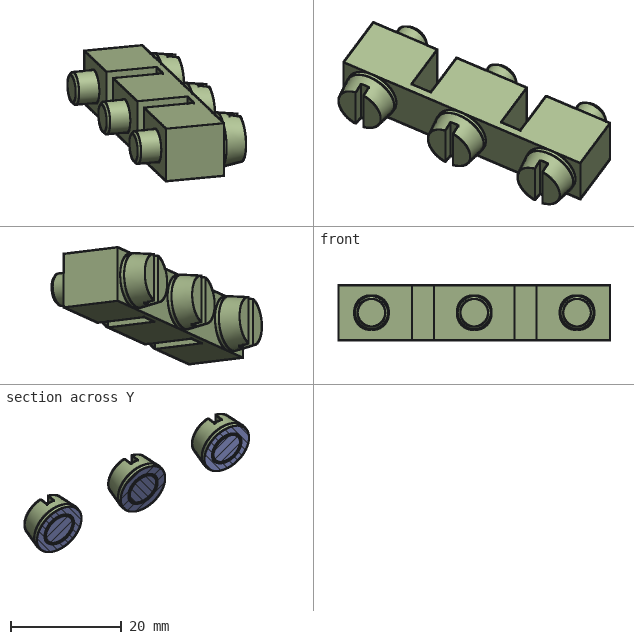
import cadquery as cq

screw_count = 3
screw_pitch = 18.6
end_margin = 6.0
screw_x = [(i - (screw_count - 1) / 2) * screw_pitch for i in range(screw_count)]

block_length = (screw_count - 1) * screw_pitch + 2 * end_margin
block_depth = 11.0
block_height = 10.0
web_thickness = 1.5
gap_width = 4.0
block_hole_diameter = 6.2
gap_x = [(left + right) / 2 for left, right in zip(screw_x, screw_x[1:])]

washer_diameter = 10.0
washer_hole_diameter = 6.4
washer_thickness = 0.8

shank_diameter = 6.0
tip_projection = 4.3
tip_chamfer = 0.5
head_height = 3.9
head_base_diameter = 10.0
head_top_diameter = 8.8
drive_slot_width = 1.6
drive_slot_depth = 2.0

block_front_y = tip_projection
block_back_y = block_front_y + block_depth
head_base_y = block_back_y + washer_thickness
head_top_y = head_base_y + head_height


def y_cylinder(x, y_start, length, diameter):
    """Cylinder running toward +Y from y_start, centred on the screw axis at x."""
    axis_start = cq.Vector(x, y_start, 0)
    return cq.Workplane(cq.Solid.makeCylinder(diameter / 2, length, axis_start, cq.Vector(0, 1, 0)))


def make_block():
    """Bar with open-front gaps between its segments and one clearance hole per screw."""
    block = cq.Workplane().box(block_length, block_depth, block_height, centered=(True, False, True))
    block = block.translate((0, block_front_y, 0))
    gap_depth = block_depth - web_thickness
    for x in gap_x:
        gap = cq.Workplane().box(gap_width, gap_depth, block_height, centered=(True, False, True))
        block = block.cut(gap.translate((x, block_front_y, 0)))
    for x in screw_x:
        block = block.cut(y_cylinder(x, block_front_y, block_depth, block_hole_diameter))
    return block


def make_washer(x):
    """Flat ring between the block and a screw head."""
    ring = y_cylinder(x, block_back_y, washer_thickness, washer_diameter)
    return ring.cut(y_cylinder(x, block_back_y, washer_thickness, washer_hole_diameter))


def make_screw(x):
    """Chamfered shank with a tapered head, turned about Y, and a drive slot along Z."""
    shank_radius = shank_diameter / 2
    profile = (
        cq.Workplane("XY")
        .lineTo(shank_radius - tip_chamfer, 0)
        .lineTo(shank_radius, tip_chamfer)
        .lineTo(shank_radius, head_base_y)
        .lineTo(head_base_diameter / 2, head_base_y)
        .lineTo(head_top_diameter / 2, head_top_y)
        .lineTo(0, head_top_y)
        .close()
    )
    screw = profile.revolve(360, (0, 0, 0), (0, 1, 0))
    slot = cq.Workplane().box(
        drive_slot_width, drive_slot_depth, head_base_diameter, centered=(True, False, True)
    )
    screw = screw.cut(slot.translate((0, head_top_y - drive_slot_depth, 0)))
    return screw.translate((x, 0, 0))


block = make_block()
washers = [make_washer(x) for x in screw_x]
screws = [make_screw(x) for x in screw_x]

result = cq.Compound.makeCompound(
    [block.val()] + [washer.val() for washer in washers] + [screw.val() for screw in screws]
)